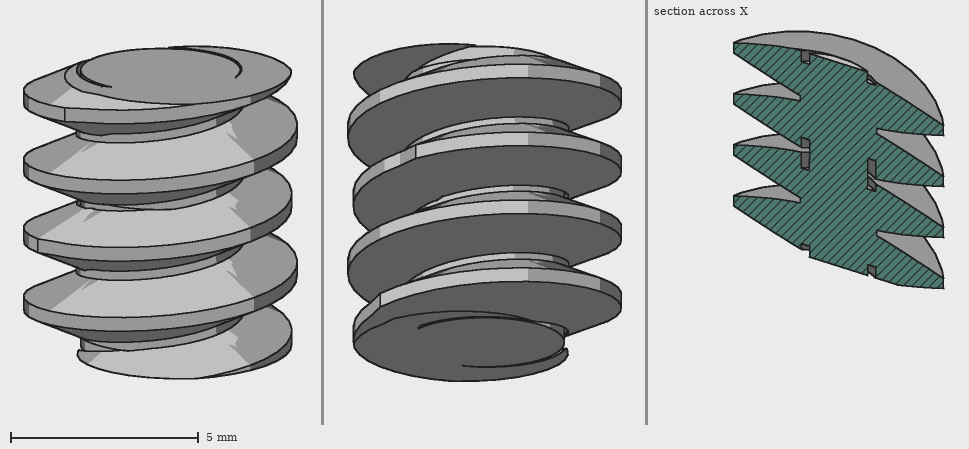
import cadquery as cq
import math

length = 7.6
thread_radius = 3.65

turns = 4
pitch = length / turns
facets_per_turn = 37
crest_width = 0.38
root_width = 1.73
root_radius = 2.235
helix_drop = 0.045
overrun_facets = 18

core_radius = 4.49 / 2
neck_radius = 2.13
end_neck_length = 0.4
middle_neck_length = 1.125

relief_depth = 0.145
end_relief_reach = 0.44
middle_relief_reach = 0.525
root_recovery = pitch / 4

flattening_start = 0.265
flattening_rate = 0.5921


def overrun(rise):
    """How far the helix has run past the nearer end of the part."""
    return max(0, -rise, rise - length)


def crest_relief(rise):
    """Inward shift of the crest where the helix has climbed by the given rise."""
    in_end = rise < end_relief_reach or rise > length - end_relief_reach
    in_middle = abs(rise - length / 2) < middle_relief_reach
    return relief_depth if in_end or in_middle else 0


def root_relief(rise):
    """Inward shift of the root, which fades out past both ends of the part."""
    return crest_relief(rise) * max(0, 1 - overrun(rise) / root_recovery)


def flattening(rise):
    """Axial scale of the thread section."""
    return 1 - flattening_rate * max(0, overrun(rise) - flattening_start)


def helix_points(radius, relief, axial_offset):
    """Corner points of one thread edge, running up around the Z axis.

    The relief function gives the inward shift of this edge along the way.
    """
    points = []
    for step in range(-overrun_facets, turns * facets_per_turn + overrun_facets + 1):
        turn = step / facets_per_turn
        angle = 2 * math.pi * turn
        rise = pitch * turn
        reach = radius - relief(rise)
        level = rise - helix_drop + axial_offset * flattening(rise)
        points.append(cq.Vector(reach * math.cos(angle), reach * math.sin(angle), level))
    return points


def make_thread():
    """Closed solid between the four helical edges of the thread."""
    edges = [
        helix_points(root_radius, root_relief, -root_width / 2),
        helix_points(thread_radius, crest_relief, -crest_width / 2),
        helix_points(thread_radius, crest_relief, crest_width / 2),
        helix_points(root_radius, root_relief, root_width / 2),
    ]
    faces = []
    for side, edge in enumerate(edges):
        lower = cq.Wire.makePolygon(edges[side - 1])
        upper = cq.Wire.makePolygon(edge)
        faces += cq.Face.makeRuledSurface(lower, upper).Faces()
    for end in (0, -1):
        section = cq.Wire.makePolygon([edge[end] for edge in edges], close=True)
        faces.append(cq.Face.makeFromWires(section))
    return cq.Solid.makeSolid(cq.Shell.makeShell(faces))


def make_core():
    """Neck-sized shaft with two thicker sleeves between the necks."""
    sleeve_length = (length - middle_neck_length) / 2 - end_neck_length
    core = cq.Workplane("XY").circle(neck_radius).extrude(length)
    for base in (end_neck_length, (length + middle_neck_length) / 2):
        sleeve = cq.Workplane("XY").workplane(offset=base).circle(core_radius).extrude(sleeve_length)
        core = core.union(sleeve)
    return core


envelope = cq.Workplane("XY").circle(2 * thread_radius).extrude(length)
thread = envelope.intersect(cq.Workplane(make_thread()))
result = make_core().union(thread)